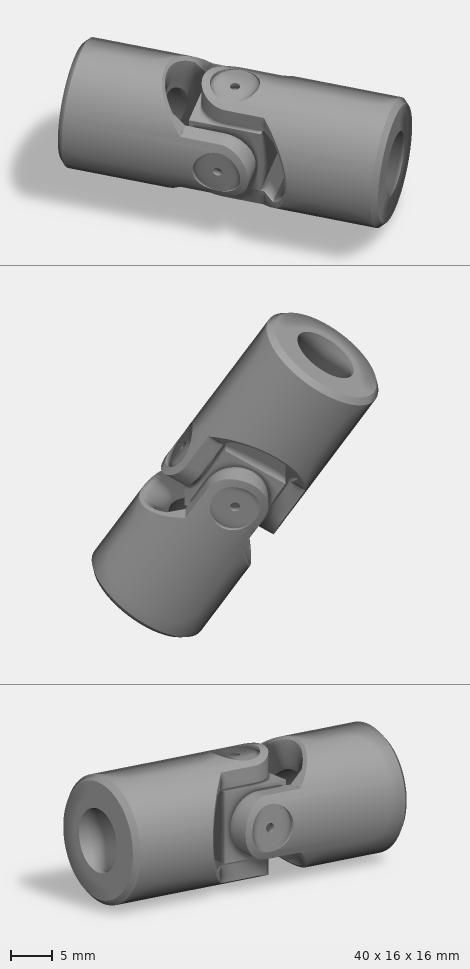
import cadquery as cq

joint_length = 40
yoke_diameter = 16
bore_diameter = 8
end_chamfer = 0.7

tine_width = 8
tine_gap = 9.6
relief_start = 4.8
pocket_corner = 6.4
pocket_depth = 8.5

cross_block_length = 9.0
cross_block_width = 8.6
cross_block_height = 9.0
collar_diameter = 7.0
pin_diameter = 6
pin_span = 14.8
center_hole_diameter = 1.2
center_hole_depth = 0.8

half_length = joint_length / 2
yoke_radius = yoke_diameter / 2
tine_radius = tine_width / 2
half_gap = tine_gap / 2


def fork_outline():
    """Prism along Z: full-width body, 45 degree shoulders and round-ended tines."""
    shoulder_x = relief_start + yoke_radius - tine_radius
    return (
        cq.Workplane("XY")
        .moveTo(half_length, -yoke_radius)
        .lineTo(shoulder_x, -yoke_radius)
        .lineTo(relief_start, -tine_radius)
        .lineTo(0, -tine_radius)
        .threePointArc((-tine_radius, 0), (0, tine_radius))
        .lineTo(relief_start, tine_radius)
        .lineTo(shoulder_x, yoke_radius)
        .lineTo(half_length, yoke_radius)
        .close()
        .extrude(yoke_radius, both=True)
    )


def fork_pocket():
    """Space between the tines, running along Y, with a rounded floor."""
    return (
        cq.Workplane("XZ")
        .moveTo(-yoke_radius, -half_gap)
        .lineTo(pocket_corner, -half_gap)
        .threePointArc((pocket_depth, 0), (pocket_corner, half_gap))
        .lineTo(-yoke_radius, half_gap)
        .close()
        .extrude(yoke_radius, both=True)
    )


def make_yoke():
    """Yoke on the +X side, with its tines above and below the cross."""
    barrel = (
        cq.Workplane("YZ")
        .workplane(offset=-yoke_radius)
        .circle(yoke_radius)
        .extrude(half_length + yoke_radius)
        .faces(">X")
        .chamfer(end_chamfer)
    )
    bore = cq.Workplane("YZ").circle(bore_diameter / 2).extrude(half_length)
    pin_holes = cq.Workplane("XY").circle(pin_diameter / 2).extrude(yoke_radius, both=True)
    return barrel.intersect(fork_outline()).cut(fork_pocket()).cut(bore).cut(pin_holes)


def make_cross():
    """Central block with a collar, pin and centre hole on each of its four arms."""
    cross = cq.Workplane("XY").box(cross_block_length, cross_block_width, cross_block_height)
    arm_planes = ("XY", "XZ")
    for plane in arm_planes:
        collars = cq.Workplane(plane).circle(collar_diameter / 2).extrude(half_gap, both=True)
        pins = cq.Workplane(plane).circle(pin_diameter / 2).extrude(pin_span / 2, both=True)
        cross = cross.union(collars).union(pins)
    for plane in arm_planes:
        for side in (-1, 1):
            center_hole = (
                cq.Workplane(plane)
                .workplane(offset=side * pin_span / 2)
                .circle(center_hole_diameter / 2)
                .extrude(-side * center_hole_depth)
            )
            cross = cross.cut(center_hole)
    return cross


cross = make_cross()

quarter_turn = 90
yokes = []
for yoke_index in range(2):
    yoke = (
        make_yoke()
        .rotate((0, 0, 0), (0, 0, 1), 2 * quarter_turn * yoke_index)
        .rotate((0, 0, 0), (1, 0, 0), quarter_turn * yoke_index)
    )
    yokes.append(yoke.val())

result = cq.Compound.makeCompound([cross.val(), *yokes])